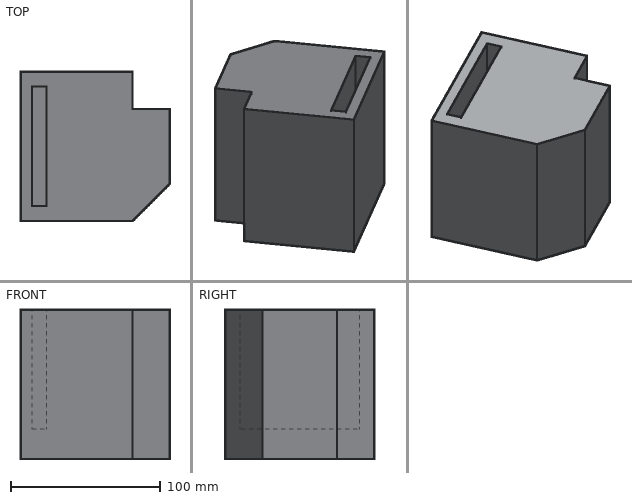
import cadquery as cq

side = 100.0
half = side / 2

corner_cut = 25.0
corner_start = half - corner_cut

slot_width = 10.0
slot_length = 80.0
slot_depth = 80.0
slot_wall = 7.5
slot_center_x = -half + slot_wall + slot_width / 2


def make_body():
    """Prism with a bevelled +X/-Y corner and a notched +X/+Y corner."""
    outline = [
        (-half, -half),
        (corner_start, -half),
        (half, -corner_start),
        (half, corner_start),
        (corner_start, corner_start),
        (corner_start, half),
        (-half, half),
    ]
    return cq.Workplane("XY").polyline(outline).close().extrude(side)


def make_slot():
    """Cutter for the slot, reaching down from the top face."""
    return (
        cq.Workplane("XY", origin=(slot_center_x, 0, side))
        .rect(slot_width, slot_length)
        .extrude(-slot_depth)
    )


result = make_body().cut(make_slot())